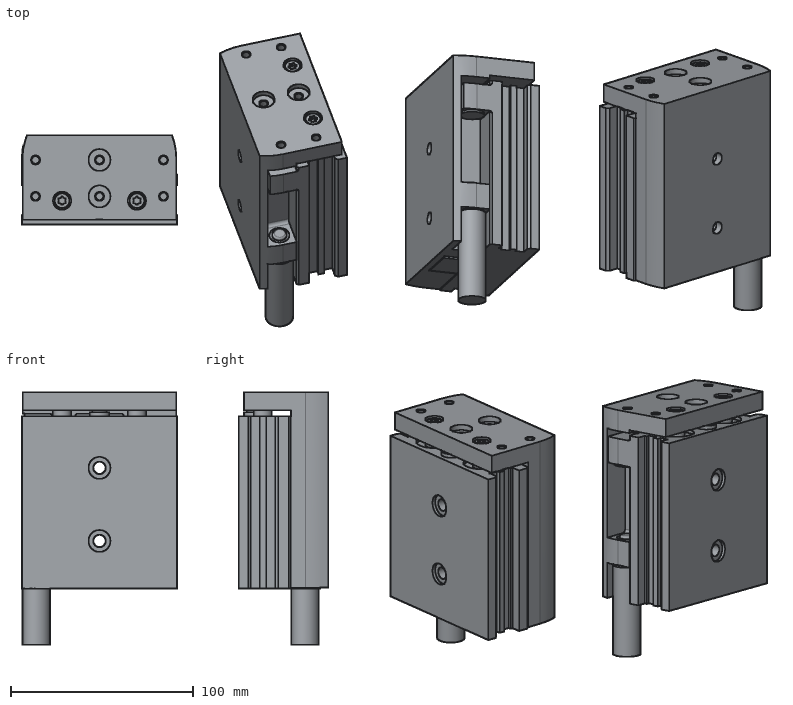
import cadquery as cq
import math


total_height = 138.5
total_depth = 49.0
housing_width = 85.0
housing_bottom = 30.9
housing_top = 125.3
guide_plane = 28.5
overshoot = 1.4

table_width = 84.2
table_bottom = 31.3
table_plate_front = 2.8
table_plate_thickness = 10.1
back_wall_thickness = 4.3
round_start = 36.4
round_inset = 2.4
pocket_wall = -25.8
pocket_roof = 126.7
pocket_fillet = 2.0
lug_bottom = 51.1
lug_top = 65.4
channel_half_width = 13.5
plate_underside = total_height - table_plate_thickness
back_wall_inner = total_depth - back_wall_thickness

hole_offset_x = 35.0
hole_row_front = 15.5
hole_row_spacing = 20.0
hole_row_rear = hole_row_front + hole_row_spacing
tapped_diameter = 4.2
tapped_chamfer = 0.4
tapped_depth = 9.0
tapped_end = total_height - tapped_depth
locating_diameter = 12.0
locating_depth = 3.0

mount_diameter = 6.6
mount_bore_diameter = 12.0
mount_bore_depth = 2.0
mount_heights = (56.9, 97.0)

edge_chamfer = 1.1
lip_front = 21.6
lip_depth = 5.4
step_front = 20.1
groove_depth = 7.0
rib_rear = 15.0
rib_front = 11.6
rib_setback = 4.6
flange_thickness = 5.1
flange_chamfer = 1.4

stop_bottom = 107.9
stop_top = 122.6
stop_rear = 43.6
stop_inner = -26.6
stop_pad_diameter = 13.6
stop_pad_height = 1.2

absorber_x = -34.6
absorber_y = 36.3
absorber_diameter = 15.2
absorber_chamfer = 1.0
neck_diameter = 11.0
tip_diameter = 8.0
tip_top = 67.0
tip_rounding = 1.1

rod_x = 20.5
rod_y = 13.2
rod_diameter = 10.0
rod_bottom = 41.5
rod_recess = 0.8
rod_chamfer = 1.0
rod_seat_diameter = 20.0
rod_seat_depth = 2.0
socket_core_diameter = 3.6
socket_lobe_diameter = 1.1
socket_lobes = 6
socket_depth = 2.1

screw_y = 8.3
screw_head_diameter = 11.0
screw_head_height = 2.1
screw_cap_diameter = 8.0
screw_cap_height = 1.0
screw_shank_diameter = 6.5
screw_shank_length = 11.1


def block(x_min, x_max, y_min, y_max, z_min, z_max):
    return cq.Workplane(
        obj=cq.Solid.makeBox(x_max - x_min, y_max - y_min, z_max - z_min, cq.Vector(x_min, y_min, z_min))
    )


def cylinder_z(x, y, diameter, z_min, z_max):
    return cq.Workplane("XY", origin=(x, y, z_min)).circle(diameter / 2).extrude(z_max - z_min)


def rounded_outline(width, y_front, y_rear, z_min, z_max):
    """Prism with straight sides that curve inward behind round_start."""
    half = width / 2
    rise = total_depth - round_start
    radius = (rise**2 + round_inset**2) / (2 * round_inset)

    def side(y):
        return half - radius + math.sqrt(radius**2 - (y - round_start) ** 2)

    y_middle = (round_start + y_rear) / 2
    return (
        cq.Workplane("XY", origin=(0, 0, z_min))
        .moveTo(-half, y_front)
        .lineTo(half, y_front)
        .lineTo(half, round_start)
        .threePointArc((side(y_middle), y_middle), (side(y_rear), y_rear))
        .lineTo(-side(y_rear), y_rear)
        .threePointArc((-side(y_middle), y_middle), (-half, round_start))
        .close()
        .extrude(z_max - z_min)
    )


def mounting_holes(diameter, y_min, y_max):
    return (
        cq.Workplane("XZ", origin=(0, y_max, 0))
        .pushPoints([(0, z) for z in mount_heights])
        .circle(diameter / 2)
        .extrude(y_max - y_min)
    )


def housing_profile():
    half = housing_width / 2
    floor = half - groove_depth
    rib = half - rib_setback
    right_side = [
        (half, 0),
        (half, flange_thickness),
        (half - flange_chamfer, flange_thickness + flange_chamfer),
        (floor, flange_thickness + flange_chamfer),
        (floor, rib_front),
        (rib, rib_front),
        (rib, rib_rear),
        (floor, rib_rear),
        (floor, step_front),
        (half - lip_depth, step_front),
        (half - lip_depth, lip_front),
        (half, lip_front),
        (half, guide_plane - edge_chamfer),
        (half - edge_chamfer, guide_plane),
    ]
    left_side = [(-x, y) for x, y in reversed(right_side)]
    return (
        cq.Workplane("XY", origin=(0, 0, housing_bottom))
        .polyline(right_side + left_side)
        .close()
        .extrude(housing_top - housing_bottom)
    )


def guide_rail():
    half = channel_half_width - pocket_fillet
    return block(-half, half, guide_plane, back_wall_inner, housing_bottom, housing_top)


def end_stop():
    front = guide_plane - edge_chamfer
    root_bottom = stop_bottom - edge_chamfer
    root_top = stop_top + edge_chamfer
    side_profile = [
        (front, root_bottom),
        (guide_plane, stop_bottom),
        (stop_rear, stop_bottom),
        (stop_rear, stop_top),
        (guide_plane, stop_top),
        (front, root_top),
    ]
    region = (
        cq.Workplane("YZ", origin=(-housing_width, 0, 0))
        .polyline(side_profile)
        .close()
        .extrude(housing_width + stop_inner)
    )
    lug = rounded_outline(housing_width, front, total_depth, root_bottom, root_top).intersect(region)
    pad = cylinder_z(absorber_x, absorber_y, stop_pad_diameter, stop_bottom - stop_pad_height, stop_bottom)
    return lug.union(pad)


def make_housing(inserts):
    housing = housing_profile().union(guide_rail()).union(end_stop())
    housing = housing.cut(mounting_holes(mount_diameter, 0, total_depth))
    housing = housing.cut(mounting_holes(mount_bore_diameter, 0, mount_bore_depth))
    for x in (-rod_x, rod_x):
        housing = housing.cut(cylinder_z(x, rod_y, rod_seat_diameter, housing_top - rod_seat_depth, housing_top))
    for insert in inserts:
        housing = housing.cut(insert)
    return housing


def side_pocket(z_min, z_max, rounded_edges):
    pocket = block(-housing_width, pocket_wall, guide_plane - overshoot, back_wall_inner, z_min, z_max)
    return pocket.faces(">X").edges(rounded_edges).fillet(pocket_fillet)


def guide_channel():
    channel = block(
        -channel_half_width,
        channel_half_width,
        guide_plane - overshoot,
        back_wall_inner,
        table_bottom - overshoot,
        pocket_roof,
    )
    return channel.faces(">Z").edges("|Y").fillet(pocket_fillet)


def tapped_hole(x, y, z_top):
    hole = cylinder_z(x, y, tapped_diameter, tapped_end, z_top)
    countersink = cq.Solid.makeCone(
        tapped_diameter / 2,
        tapped_diameter / 2 + tapped_chamfer,
        tapped_chamfer,
        cq.Vector(x, y, z_top - tapped_chamfer),
    )
    return hole.union(cq.Workplane(obj=countersink))


def plate_holes():
    holes = cq.Workplane()
    for y in (hole_row_front, hole_row_rear):
        holes = holes.add(cylinder_z(0, y, locating_diameter, total_height - locating_depth, total_height))
        holes = holes.add(tapped_hole(0, y, total_height - locating_depth))
        for x in (-hole_offset_x, hole_offset_x):
            holes = holes.add(tapped_hole(x, y, total_height))
    return holes.vals()


def make_table(inserts):
    plate = rounded_outline(table_width, table_plate_front, total_depth, plate_underside, total_height)
    table = rounded_outline(table_width, guide_plane, total_depth, table_bottom, plate_underside).union(plate)
    table = table.cut(side_pocket(lug_top, pocket_roof, "|Y"))
    table = table.cut(side_pocket(table_bottom - overshoot, lug_bottom, ">Z"))
    table = table.cut(guide_channel())
    for hole in plate_holes():
        table = table.cut(cq.Workplane(obj=hole))
    for x in (-rod_x, rod_x):
        table = table.cut(cylinder_z(x, rod_y, rod_diameter, plate_underside, total_height))
    table = table.cut(mounting_holes(mount_diameter, guide_plane, total_depth))
    for insert in inserts:
        table = table.cut(insert)
    return table


def make_absorber():
    barrel = cylinder_z(absorber_x, absorber_y, absorber_diameter, 0, lug_bottom)
    barrel = barrel.faces(">Z").chamfer(absorber_chamfer)
    neck = cylinder_z(absorber_x, absorber_y, neck_diameter, lug_bottom, lug_top)
    tip = cylinder_z(absorber_x, absorber_y, tip_diameter, lug_top, tip_top).faces(">Z").fillet(tip_rounding)
    return barrel.union(neck).union(tip)


def make_rod(x):
    rod_top = total_height - rod_recess
    socket_bottom = rod_top - socket_depth
    rod = cylinder_z(x, rod_y, rod_diameter, rod_bottom, rod_top).faces(">Z").chamfer(rod_chamfer)
    rod = rod.cut(cylinder_z(x, rod_y, socket_core_diameter, socket_bottom, rod_top))
    lobes = (
        cq.Workplane("XY", origin=(x, rod_y, socket_bottom))
        .polarArray(socket_core_diameter / 2, 90, 360, socket_lobes)
        .circle(socket_lobe_diameter / 2)
        .extrude(socket_depth)
    )
    return rod.cut(lobes)


def make_stop_screw():
    head_top = housing_top + screw_head_height
    shank = cylinder_z(0, screw_y, screw_shank_diameter, housing_top - screw_shank_length, housing_top)
    head = cylinder_z(0, screw_y, screw_head_diameter, housing_top, head_top)
    cap = cylinder_z(0, screw_y, screw_cap_diameter, head_top, head_top + screw_cap_height)
    return shank.union(head).union(cap)


absorber = make_absorber()
rods = [make_rod(x) for x in (-rod_x, rod_x)]
stop_screw = make_stop_screw()
housing = make_housing([*rods, stop_screw])
table = make_table([absorber])

result = cq.Compound.makeCompound(
    [housing.val(), table.val(), absorber.val(), *[rod.val() for rod in rods], stop_screw.val()]
)